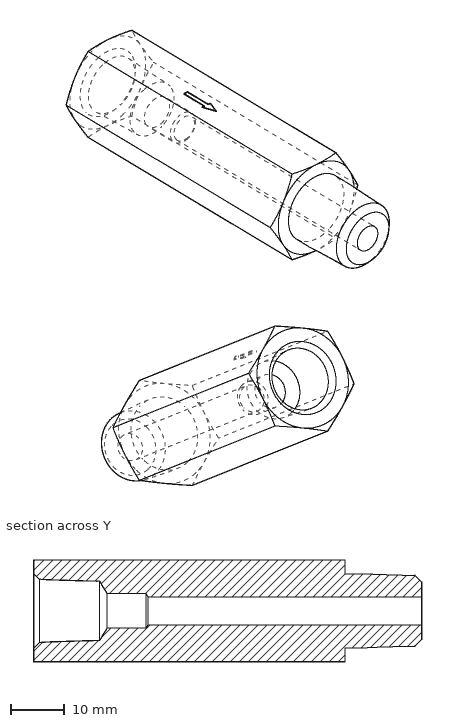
import cadquery as cq
import math

TOTAL_LENGTH = 72.4
BODY_LENGTH = 58.05
ACROSS_FLATS = 19.05
ACROSS_CORNERS = ACROSS_FLATS / math.cos(math.radians(30))
CORNER_CHAMFER_LENGTH = 0.6

NIPPLE_DIAMETER = 13.9
NIPPLE_STRAIGHT_LENGTH = 3.8
NIPPLE_CHAMFER = 1.3
PIPE_TAPER = 1 / 16

MOUTH_DIAMETER = 13.9
INLET_DIAMETER = 11.7
INLET_DEPTH = 12.3
MIDDLE_DIAMETER = 6.4
MIDDLE_LENGTH = 7.25
OUTLET_DIAMETER = 5.15
DRILL_POINT_ANGLE = 118.0

ARROW_START = 23.3
ARROW_SHAFT_LENGTH = 5.7
ARROW_SHAFT_WIDTH = 0.95
ARROW_HEAD_LENGTH = 2.8
ARROW_HEAD_WIDTH = 2.0
ARROW_CENTER_Y = -1.45
ARROW_DEPTH = 0.15


def revolve_about_x(outline):
    """Turn (x, radius) points, which start and end on the axis, into a solid."""
    return cq.Workplane("XY").polyline(outline).close().revolve(360, (0, 0, 0), (1, 0, 0))


def drill_point_length(large_diameter, small_diameter):
    """Axial length of the cone a drill leaves between two diameters."""
    return (large_diameter - small_diameter) / 2 / math.tan(math.radians(DRILL_POINT_ANGLE / 2))


def make_body():
    """Hexagonal bar whose corners are turned down to the flats at both ends."""
    bar = cq.Workplane("YZ").polygon(6, ACROSS_CORNERS).extrude(BODY_LENGTH)
    turned_envelope = revolve_about_x([
        (0, 0),
        (0, ACROSS_FLATS / 2),
        (CORNER_CHAMFER_LENGTH, ACROSS_CORNERS / 2),
        (BODY_LENGTH - CORNER_CHAMFER_LENGTH, ACROSS_CORNERS / 2),
        (BODY_LENGTH, ACROSS_FLATS / 2),
        (BODY_LENGTH, 0),
    ])
    return bar.intersect(turned_envelope)


def make_nipple():
    """Straight neck, tapered pipe section and 45 degree end chamfer."""
    taper_start = BODY_LENGTH + NIPPLE_STRAIGHT_LENGTH
    taper_end = TOTAL_LENGTH - NIPPLE_CHAMFER
    neck_radius = NIPPLE_DIAMETER / 2
    taper_end_radius = neck_radius - PIPE_TAPER / 2 * (taper_end - taper_start)
    return revolve_about_x([
        (BODY_LENGTH, 0),
        (BODY_LENGTH, neck_radius),
        (taper_start, neck_radius),
        (taper_end, taper_end_radius),
        (TOTAL_LENGTH, taper_end_radius - NIPPLE_CHAMFER),
        (TOTAL_LENGTH, 0),
    ])


def make_bore():
    """Chamfered tapered inlet, then two smaller drilled steps to the outlet."""
    mouth_depth = (MOUTH_DIAMETER - INLET_DIAMETER) / 2
    inlet_end_diameter = INLET_DIAMETER - PIPE_TAPER * (INLET_DEPTH - mouth_depth)
    middle_start = INLET_DEPTH + drill_point_length(inlet_end_diameter, MIDDLE_DIAMETER)
    middle_end = middle_start + MIDDLE_LENGTH
    outlet_start = middle_end + drill_point_length(MIDDLE_DIAMETER, OUTLET_DIAMETER)
    return revolve_about_x([
        (0, 0),
        (0, MOUTH_DIAMETER / 2),
        (mouth_depth, INLET_DIAMETER / 2),
        (INLET_DEPTH, inlet_end_diameter / 2),
        (middle_start, MIDDLE_DIAMETER / 2),
        (middle_end, MIDDLE_DIAMETER / 2),
        (outlet_start, OUTLET_DIAMETER / 2),
        (TOTAL_LENGTH, OUTLET_DIAMETER / 2),
        (TOTAL_LENGTH, 0),
    ])


def make_flow_arrow():
    """Arrow pointing to the outlet, sunk into the top flat."""
    head_start = ARROW_START + ARROW_SHAFT_LENGTH
    upper_half = [
        (ARROW_START, ARROW_SHAFT_WIDTH / 2),
        (head_start, ARROW_SHAFT_WIDTH / 2),
        (head_start, ARROW_HEAD_WIDTH / 2),
    ]
    tip = (head_start + ARROW_HEAD_LENGTH, 0)
    lower_half = [(x, -y) for x, y in reversed(upper_half)]
    return (
        cq.Workplane("XY", origin=(0, ARROW_CENTER_Y, ACROSS_FLATS / 2 - ARROW_DEPTH))
        .polyline(upper_half + [tip] + lower_half)
        .close()
        .extrude(ARROW_DEPTH)
    )


result = make_body().union(make_nipple()).cut(make_bore()).cut(make_flow_arrow())